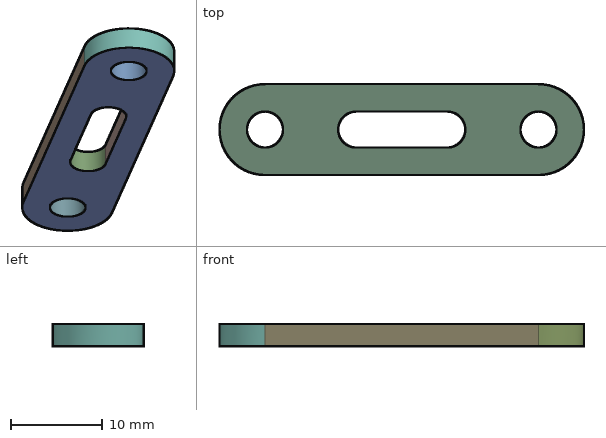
import cadquery as cq

length = 40.0
width = 10.0
thickness = 2.5

hole_diameter = 3.9
hole_spacing = length - width

slot_straight_length = 10.0
slot_length = slot_straight_length + hole_diameter

plate = cq.Workplane("XY").slot2D(length, width).extrude(thickness)

plate_with_holes = (
    plate.faces(">Z")
    .workplane()
    .rarray(hole_spacing, 0.4, 2, 1)
    .hole(hole_diameter)
)

result = (
    plate_with_holes.faces(">Z")
    .workplane()
    .slot2D(slot_length, hole_diameter)
    .cutThruAll()
)